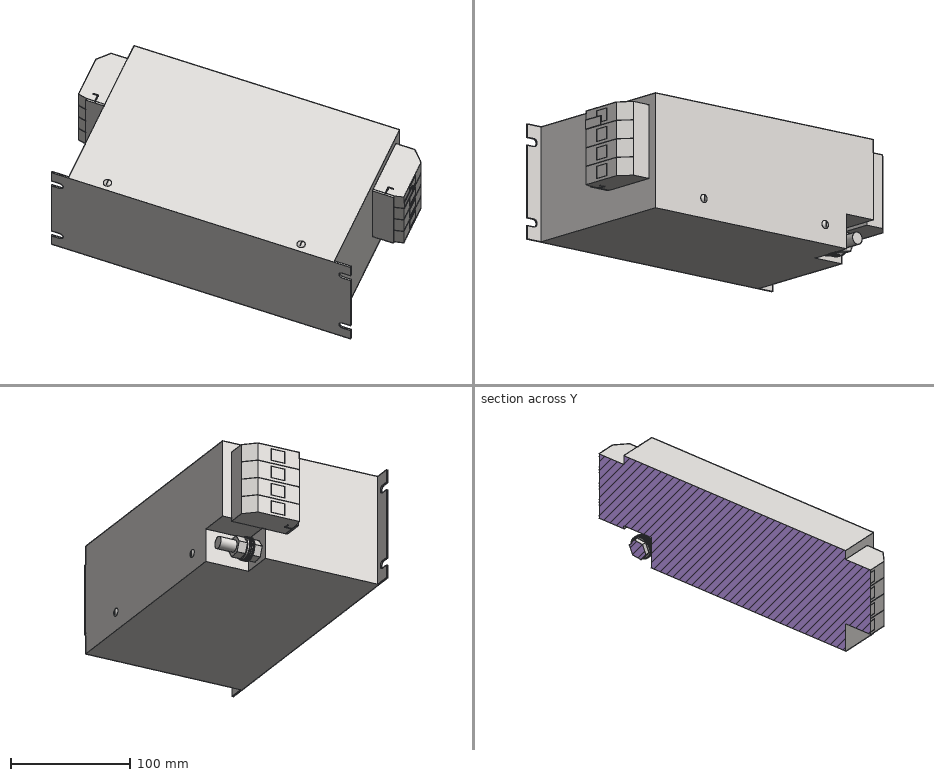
import cadquery as cq
import math

BODY_WIDTH = 240.0
BODY_DEPTH = 150.0
BODY_HEIGHT = 100.0
BODY_SIDE = BODY_WIDTH / 2

PLATE_WIDTH = 270.5
PLATE_THICKNESS = 1.5
SLOT_LENGTH = 10.5
SLOT_WIDTH = 6.8
SLOT_MARGIN = 15.0

SCREW_RADIUS = 3.5
SCREW_HEIGHT = 1.5
SCREW_SLOT_WIDTH = 0.3
SCREW_SLOT_DEPTH = 0.5
TOP_SCREW_X = 87.5
TOP_SCREW_Y = 7.5
REAR_SCREW_X = 67.0
REAR_SCREW_Z = 17.0

MODULE_COUNT = 4
MODULE_HEIGHT = 16.0
JOINT_SIZE = 0.15
BLOCK_BOTTOM = 27.0
BLOCK_HEIGHT = MODULE_COUNT * MODULE_HEIGHT + (MODULE_COUNT - 1) * JOINT_SIZE
BLOCK_TOP = BLOCK_BOTTOM + BLOCK_HEIGHT
BLOCK_OUTER_X = 147.0
BLOCK_FRONT_Y = 91.3
BLOCK_REAR_Y = 141.5
BLOCK_CHAMFER_X = 9.7
BLOCK_CHAMFER_Y = 10.5
LIP_X = 139.0
LIP_Y = 89.5
FOOT_OUTER_X = LIP_X
FOOT_FRONT_Y = 87.8
FOOT_BOTTOM = BLOCK_BOTTOM + JOINT_SIZE
FOOT_TOP = BLOCK_TOP - JOINT_SIZE

WINDOW_LENGTH = 13.0
WINDOW_HEIGHT = 10.5
WINDOW_FRONT_Y = 105.2
WINDOW_RECESS = 0.3

HOOK_X = 130.8
HOOK_TIP_X = 135.8
HOOK_REAR_Y = 96.5
HOOK_GAP = 1.0

TAB_THICKNESS = 0.5
TAB_FRONT_Y = BLOCK_FRONT_Y
TAB_LENGTH = 19.7
TAB_HEIGHT = MODULE_HEIGHT / 2
TAB_BOTTOM = BLOCK_TOP - MODULE_HEIGHT

NOTCH_DEPTH_X = 29.5
NOTCH_FRONT_Y = 109.0
NOTCH_HEIGHT = 30.0
GLAND_X = -BODY_SIDE + NOTCH_DEPTH_X / 2
GLAND_Z = 12.5
HEX_LENGTH = 22.0
HEX_ACROSS_CORNERS = 18.5
HEX_TILT = 7
COLLAR_RADIUS = 9.7
COLLAR_END = 14.0
WASHER_START = 7.7
WASHER_END = 8.5
RING_RADIUS = 10.3
RING_START = 9.0
RING_LENGTH = 1.5
RING_GAP = 0.3
RING_COUNT = 2
STUD_RADIUS = 5.3
STUD_LENGTH = 37.5


def box(x0, x1, y0, y1, z0, z1):
    """Axis-aligned box between two opposite corners."""
    return cq.Workplane("XY").box(x1 - x0, y1 - y0, z1 - z0, centered=False).translate((x0, y0, z0))


def make_body():
    """Plain housing with the notch that shelters the cable gland."""
    body = box(-BODY_SIDE, BODY_SIDE, 0, BODY_DEPTH, 0, BODY_HEIGHT)
    notch = box(-BODY_SIDE, -BODY_SIDE + NOTCH_DEPTH_X, NOTCH_FRONT_Y, BODY_DEPTH, 0, NOTCH_HEIGHT)
    return body.cut(notch)


def make_plate():
    """Front plate with four open-ended mounting slots."""
    edge = PLATE_WIDTH / 2
    plate = box(-edge, edge, 0, PLATE_THICKNESS, 0, BODY_HEIGHT)
    slot_centers = [
        (x, z) for x in (-edge, edge) for z in (SLOT_MARGIN, BODY_HEIGHT - SLOT_MARGIN)
    ]
    slots = (
        cq.Workplane("XZ")
        .pushPoints(slot_centers)
        .slot2D(2 * SLOT_LENGTH, SLOT_WIDTH)
        .extrude(-PLATE_THICKNESS)
    )
    return plate.cut(slots)


def make_screw_head():
    """Slotted dome head standing on Z = 0, with its slot along Y."""
    sphere_radius = (SCREW_RADIUS**2 + SCREW_HEIGHT**2) / (2 * SCREW_HEIGHT)
    half_angle = math.asin(SCREW_RADIUS / sphere_radius) / 2
    dome_midpoint = (
        sphere_radius * math.sin(half_angle),
        SCREW_HEIGHT - sphere_radius * (1 - math.cos(half_angle)),
    )
    head = (
        cq.Workplane("XZ")
        .lineTo(SCREW_RADIUS, 0)
        .threePointArc(dome_midpoint, (0, SCREW_HEIGHT))
        .close()
        .revolve(360, (0, 0, 0), (0, 1, 0))
    )
    slot = box(
        -SCREW_SLOT_WIDTH / 2, SCREW_SLOT_WIDTH / 2,
        -SCREW_RADIUS, SCREW_RADIUS,
        SCREW_HEIGHT - SCREW_SLOT_DEPTH, SCREW_HEIGHT,
    )
    return head.cut(slot)


def module_outline(inset):
    """XY outline of a +X terminal module, with its outer faces pulled in by an inset."""
    outer_x = BLOCK_OUTER_X - inset
    return [
        (BODY_SIDE, BLOCK_REAR_Y),
        (BLOCK_OUTER_X - BLOCK_CHAMFER_X - inset, BLOCK_REAR_Y),
        (outer_x, BLOCK_REAR_Y - BLOCK_CHAMFER_Y),
        (outer_x, BLOCK_FRONT_Y + inset),
        (LIP_X - inset, LIP_Y + inset),
        (BODY_SIDE, LIP_Y + inset),
    ]


def prism(outline, bottom, height):
    """Upright prism on an XY outline."""
    return cq.Workplane("XY").workplane(offset=bottom).polyline(outline).close().extrude(height)


def make_terminal_block():
    """Terminal block on the +X side: modules on a common core, mounted on a foot."""
    block = prism(module_outline(JOINT_SIZE), BLOCK_BOTTOM, BLOCK_HEIGHT)
    foot = box(BODY_SIDE, FOOT_OUTER_X, FOOT_FRONT_Y, LIP_Y + JOINT_SIZE, FOOT_BOTTOM, FOOT_TOP)
    block = block.union(foot)

    for i in range(MODULE_COUNT):
        bottom = BLOCK_BOTTOM + i * (MODULE_HEIGHT + JOINT_SIZE)
        module = prism(module_outline(0), bottom, MODULE_HEIGHT)
        window_bottom = bottom + (MODULE_HEIGHT - WINDOW_HEIGHT) / 2
        window = box(
            BLOCK_OUTER_X - WINDOW_RECESS, BLOCK_OUTER_X,
            WINDOW_FRONT_Y, WINDOW_FRONT_Y + WINDOW_LENGTH,
            window_bottom, window_bottom + WINDOW_HEIGHT,
        )
        block = block.union(module.cut(window))

    hook_stem = box(HOOK_X, HOOK_X + HOOK_GAP, LIP_Y, HOOK_REAR_Y, BLOCK_BOTTOM, BLOCK_TOP)
    hook_arm = box(
        HOOK_X, HOOK_TIP_X, HOOK_REAR_Y - HOOK_GAP, HOOK_REAR_Y, BLOCK_BOTTOM, BLOCK_TOP
    )
    return block.cut(hook_stem.union(hook_arm))


def make_tab():
    """Small raised tab on the lower half of the top module on the +X side."""
    return box(
        BLOCK_OUTER_X - TAB_THICKNESS, BLOCK_OUTER_X + TAB_THICKNESS,
        TAB_FRONT_Y, TAB_FRONT_Y + TAB_LENGTH,
        TAB_BOTTOM, TAB_BOTTOM + TAB_HEIGHT,
    )


def make_gland():
    """Cable gland along +Z from the origin: hexagon, stepped collar, washer and stud."""
    def disc(radius, start, end):
        return cq.Workplane("XY").workplane(offset=start).circle(radius).extrude(end - start)

    hexagon = (
        cq.Workplane("XY")
        .polygon(6, HEX_ACROSS_CORNERS)
        .extrude(HEX_LENGTH)
        .rotate((0, 0, 0), (0, 0, 1), HEX_TILT)
    )
    gland = (
        hexagon
        .union(disc(COLLAR_RADIUS, WASHER_START, COLLAR_END))
        .union(disc(RING_RADIUS, WASHER_START, WASHER_END))
        .union(disc(STUD_RADIUS, 0, STUD_LENGTH))
    )
    for i in range(RING_COUNT):
        ring_start = RING_START + i * (RING_LENGTH + RING_GAP)
        gland = gland.union(disc(RING_RADIUS, ring_start, ring_start + RING_LENGTH))
    return gland


terminal_block = make_terminal_block()
screw_head = make_screw_head()
gland = make_gland().rotate((0, 0, 0), (1, 0, 0), -90).translate((GLAND_X, NOTCH_FRONT_Y, GLAND_Z))
rear_screw_head = screw_head.rotate((0, 0, 0), (1, 0, 0), -90)

result = (
    make_body()
    .union(make_plate())
    .union(terminal_block)
    .union(terminal_block.mirror("YZ"))
    .union(make_tab())
    .union(gland)
)
for side in (-1, 1):
    result = result.union(screw_head.translate((side * TOP_SCREW_X, TOP_SCREW_Y, BODY_HEIGHT)))
    result = result.union(rear_screw_head.translate((side * REAR_SCREW_X, BODY_DEPTH, REAR_SCREW_Z)))